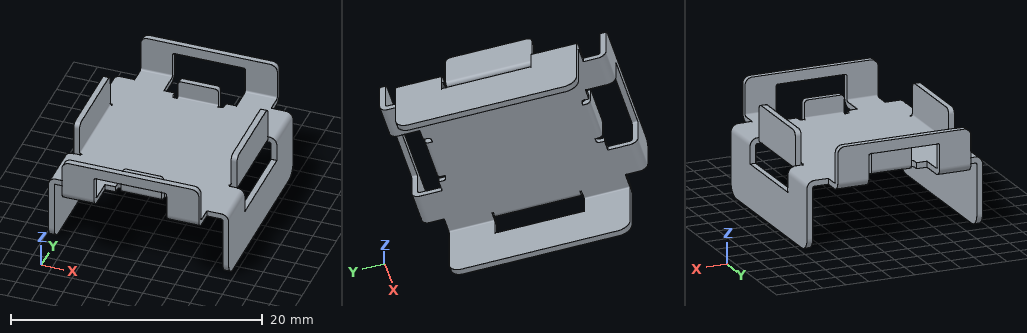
import cadquery as cq


length_x = 15.25
length_y = 18.8
thickness = 0.5

leg_face = length_x / 2
leg_width = 15.04
leg_drop = 5.43
leg_outer_radius = 0.64
leg_inner_radius = 0.13
leg_corner_radius = 1.05

end_face = length_y / 2
end_width = 11.56
end_height = 3.7
end_outer_radius = 0.7
end_inner_radius = end_outer_radius - thickness
end_corner_radius = 0.6

side_tab_face = leg_face - 0.71
side_tab_width = 7.2
side_tab_height = 3.38
side_tab_inner_radius = 0.19
side_tab_corner_radius = 0.49

end_tab_face = 6.88
end_tab_width = 3.45
end_tab_height = 2.07
end_tab_inner_radius = 0.13
end_tab_corner_radius = 0.3

tab_outer_radius = 0.4

side_slot_width = 7.43
side_slot_edge = leg_face - 1.32
side_slot_drop = 1.62
end_window_width = 6.13
end_window_top = 2.78
end_window_radius = 0.15
relief_width = 4.32
relief_edge = end_tab_face - thickness - end_tab_inner_radius
relief_radius = 0.25


def folded_wall(face, width, height, outer_radius, inner_radius, corner_radius):
    """Wall folded up at +X: a foot in the plate, a bend, and a wall with its outer face at X = face."""
    inner_face = face - thickness
    bend_start = inner_face - inner_radius
    foot_end = bend_start - thickness
    section = (
        cq.Workplane("XZ")
        .moveTo(foot_end, 0)
        .lineTo(face - outer_radius, 0)
        .radiusArc((face, outer_radius), -outer_radius)
        .lineTo(face, height)
        .lineTo(inner_face, height)
        .lineTo(inner_face, thickness + inner_radius)
        .radiusArc((bend_start, thickness), inner_radius)
        .lineTo(foot_end, thickness)
        .close()
    )
    wall = section.extrude(width / 2, both=True)
    return wall.faces(">Z").edges("|X").fillet(corner_radius)


def on_both_sides(body, first_angle):
    """Two copies of a +X body, turned about Z to first_angle and to the opposite side."""
    first = body.rotate((0, 0, 0), (0, 0, 1), first_angle)
    return first.union(first.rotate((0, 0, 0), (0, 0, 1), 180))


def block(x_range, width, z_range):
    """Block spanning x_range and z_range, centred on Y = 0."""
    x_min, x_max = x_range
    z_min, z_max = z_range
    return (
        cq.Workplane("XY")
        .box(x_max - x_min, width, z_max - z_min, centered=(False, True, False))
        .translate((x_min, 0, z_min))
    )


def cross_plate():
    """Flat plate reaching to the bends of the legs and of the end walls."""
    plate_x = 2 * (leg_face - leg_outer_radius)
    plate_y = 2 * (end_face - end_outer_radius)
    flat = (True, True, False)
    across = cq.Workplane("XY").box(plate_x, leg_width, thickness, centered=flat)
    along = cq.Workplane("XY").box(end_width, plate_y, thickness, centered=flat)
    return across.union(along)


def legs():
    leg = folded_wall(
        leg_face, leg_width, leg_drop + thickness, leg_outer_radius, leg_inner_radius, leg_corner_radius
    )
    mid_sheet = thickness / 2
    leg = leg.rotate((0, 0, mid_sheet), (1, 0, mid_sheet), 180)
    return on_both_sides(leg, 0)


def end_walls():
    wall = folded_wall(
        end_face, end_width, end_height, end_outer_radius, end_inner_radius, end_corner_radius
    )
    return on_both_sides(wall, 90)


def side_tabs():
    tab = folded_wall(
        side_tab_face, side_tab_width, side_tab_height,
        tab_outer_radius, side_tab_inner_radius, side_tab_corner_radius,
    )
    return on_both_sides(tab, 0)


def end_tabs():
    tab = folded_wall(
        end_tab_face, end_tab_width, end_tab_height,
        tab_outer_radius, end_tab_inner_radius, end_tab_corner_radius,
    )
    return on_both_sides(tab, 90)


def side_slots():
    """Openings through the plate edge, the leg bend and the top of each leg."""
    slot = block((side_slot_edge, leg_face), side_slot_width, (-side_slot_drop, thickness))
    return on_both_sides(slot, 0)


def end_windows():
    """Openings through the plate and each end wall, with a narrower relief around each end tab."""
    window = block((end_tab_face, end_face), end_window_width, (0, end_window_top))
    window = window.faces(">Z").edges("|X").fillet(end_window_radius)
    relief = block((relief_edge, end_tab_face), relief_width, (0, thickness))
    relief = relief.faces("<X").edges("|Z").fillet(relief_radius)
    return on_both_sides(window.union(relief), 90)


sheet = cross_plate().union(legs()).union(end_walls())
sheet = sheet.cut(side_slots()).cut(end_windows())
result = sheet.union(side_tabs()).union(end_tabs())